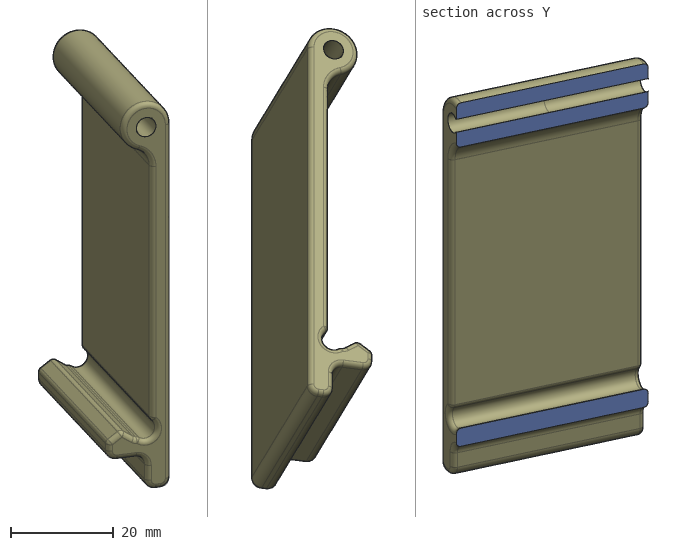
import cadquery as cq
import math

width = 42.0
height = 80.94
depth = 13.0

barrel_radius = 5.0
bore_diameter = 4.0
neck_radius = 4.0

plate_thickness = 4.03
foot_thickness = 5.0
foot_radius = 2.0

groove_radius = 2.1
groove_depth_pos = 5.0
groove_height = 12.6

lip_underside = 7.1
shelf_height = 11.1
peak_depth_pos = 10.0
peak_height = 13.0
lip_angle = math.radians(34.0)

small_radius = 1.0
side_radius = 1.05

barrel_height = height - barrel_radius
lip_slope = math.tan(lip_angle)
shelf_end = peak_depth_pos - (peak_height - shelf_height) / lip_slope
nose_height = peak_height - (depth - peak_depth_pos) * lip_slope
groove_rim_height = groove_height + math.sqrt(
    groove_radius**2 - (groove_depth_pos - plate_thickness) ** 2
)
shelf_start = groove_depth_pos + math.sqrt(
    groove_radius**2 - (groove_height - shelf_height) ** 2
)

neck_depth_pos = plate_thickness + neck_radius
neck_offset = neck_depth_pos - barrel_radius
neck_height = barrel_height - math.sqrt(
    (barrel_radius + neck_radius) ** 2 - neck_offset**2
)


def at(depth_pos, level):
    """Profile point in the Y-Z plane from its depth ahead of the back face and its height above the foot."""
    return (barrel_radius - depth_pos, level - barrel_height)


def on_circle(center_depth, center_level, radius, toward_depth, toward_level):
    """Point of a circle in the direction of the given vector."""
    length = math.hypot(toward_depth, toward_level)
    return at(
        center_depth + radius * toward_depth / length,
        center_level + radius * toward_level / length,
    )


def make_body():
    """Full-width extrusion of the sharp-cornered profile."""
    neck_drop = neck_height - barrel_height
    barrel_end = on_circle(barrel_radius, barrel_height, barrel_radius, neck_offset, neck_drop)
    barrel_mid = on_circle(barrel_radius, barrel_height, barrel_radius, 1, 1)
    neck_mid = on_circle(neck_depth_pos, neck_height, neck_radius, -1, 1)
    groove_mid = on_circle(groove_depth_pos, groove_height, groove_radius, -1, -1)
    return (
        cq.Workplane("YZ", origin=(-width / 2, 0, 0))
        .moveTo(*at(0, 0))
        .lineTo(*at(0, barrel_height))
        .threePointArc(barrel_mid, barrel_end)
        .threePointArc(neck_mid, at(plate_thickness, neck_height))
        .lineTo(*at(plate_thickness, groove_rim_height))
        .threePointArc(groove_mid, at(shelf_start, shelf_height))
        .lineTo(*at(shelf_end, shelf_height))
        .lineTo(*at(peak_depth_pos, peak_height))
        .lineTo(*at(depth, nose_height))
        .lineTo(*at(depth, lip_underside))
        .lineTo(*at(foot_thickness, lip_underside))
        .lineTo(*at(foot_thickness, 0))
        .close()
        .extrude(width)
    )


def round_corners(body, corners, radius):
    """Round the full-width edges that pass through the given profile corners."""
    for corner in corners:
        y, z = at(*corner)
        edge = cq.selectors.NearestToPointSelector((0, y, z))
        body = body.edges("|X").edges(edge).fillet(radius)
    return body


foot_corners = [
    (0, 0),
    (foot_thickness, 0),
    (foot_thickness, lip_underside),
    (depth, lip_underside),
]
small_corners = [
    (plate_thickness, groove_rim_height),
    (shelf_start, shelf_height),
    (shelf_end, shelf_height),
    (peak_depth_pos, peak_height),
    (depth, nose_height),
]

body = make_body()
body = round_corners(body, foot_corners, foot_radius)
body = round_corners(body, small_corners, small_radius)
body = body.faces("<X or >X").edges().fillet(side_radius)

bore = cq.Workplane("YZ").circle(bore_diameter / 2).extrude(width / 2, both=True)
result = body.cut(bore)